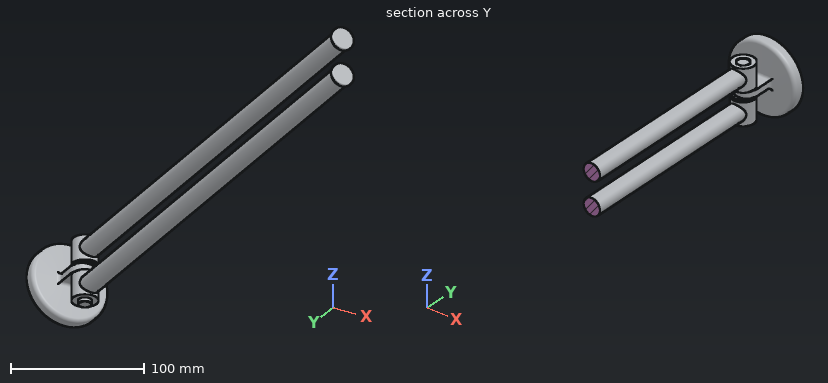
import cadquery as cq

overall_length = 425.0
plate_radius = 32.95
plate_rim_depth = 6.5
plate_rounding = 3.5
plate_crown = 1.3
face_radius = plate_radius - plate_rounding
face_depth = plate_rim_depth + plate_rounding
plate_depth = face_depth + plate_crown

tongue_width = 20.0
tongue_thickness = 6.5
tongue_tip = 36.5
tongue_blend = 2.5

knuckle_radius = 10.0
knuckle_axis = 31.0
knuckle_outer = 25.5
spacer_radius = 8.5
spacer_height = 1.05
spacer_inner = tongue_thickness / 2
knuckle_inner = spacer_inner + spacer_height

pin_radius = 5.3
pin_projection = 3.5
pin_chamfer = 0.5
recess_radius = 5.5
recess_depth = 1.0

arm_level = 15.5
arm_radius = 8.0
cap_radius = 9.5
cap_length = 3.5
cap_rounding = 1.0


def make_plate():
    """Round plate with a rounded rim and a slightly crowned front face."""
    crown_sphere = (face_radius**2 + plate_crown**2) / (2 * plate_crown)
    return (
        cq.Workplane("XY")
        .lineTo(plate_radius, 0)
        .lineTo(plate_radius, -plate_rim_depth)
        .radiusArc((face_radius, -face_depth), plate_rounding)
        .radiusArc((0, -plate_depth), crown_sphere)
        .close()
        .revolve(360, (0, 0), (0, 1))
    )


def make_tongue():
    """Flat tongue with a half-round end."""
    end_radius = tongue_width / 2
    end_center = tongue_tip - end_radius
    return (
        cq.Workplane("XY")
        .moveTo(-end_radius, 0)
        .lineTo(-end_radius, -end_center)
        .threePointArc((0, -tongue_tip), (end_radius, -end_center))
        .lineTo(end_radius, 0)
        .close()
        .extrude(tongue_thickness / 2, both=True)
    )


def make_bracket():
    """Plate and tongue with a concave blend around the root of the tongue."""
    root_box = cq.selectors.BoxSelector(
        (-tongue_width, -plate_depth - tongue_blend, -tongue_thickness),
        (tongue_width, -face_depth, tongue_thickness),
    )
    return make_plate().union(make_tongue()).edges(root_box).fillet(tongue_blend)


def make_cylinder(radius, bottom, top):
    """Vertical cylinder on the pivot axis."""
    return (
        cq.Workplane("XY", origin=(0, -knuckle_axis, bottom))
        .circle(radius)
        .extrude(top - bottom)
    )


def make_arm():
    """Straight round arm from the pivot axis to its rounded end cap."""
    cap_start = overall_length - cap_length
    arm = (
        cq.Workplane("XZ", origin=(0, -knuckle_axis, arm_level))
        .circle(arm_radius)
        .extrude(cap_start - knuckle_axis)
    )
    cap = (
        cq.Workplane("XZ", origin=(0, -cap_start, arm_level))
        .circle(cap_radius)
        .extrude(cap_length)
        .edges()
        .fillet(cap_rounding)
    )
    return arm.union(cap)


def make_hinge_half():
    """Upper knuckle with its spacer and arm."""
    spacer = make_cylinder(spacer_radius, spacer_inner, knuckle_inner)
    knuckle = make_cylinder(knuckle_radius, knuckle_inner, knuckle_outer)
    return knuckle.union(spacer).union(make_arm())


upper_half = make_hinge_half()
lower_half = upper_half.mirror("XY")
recess_floor = knuckle_outer - recess_depth
recess = make_cylinder(recess_radius, recess_floor, knuckle_outer)
pin_bottom = -knuckle_outer - pin_projection
pin = make_cylinder(pin_radius, pin_bottom, recess_floor).faces("<Z").chamfer(pin_chamfer)

result = make_bracket().union(upper_half).union(lower_half).union(pin).cut(recess)